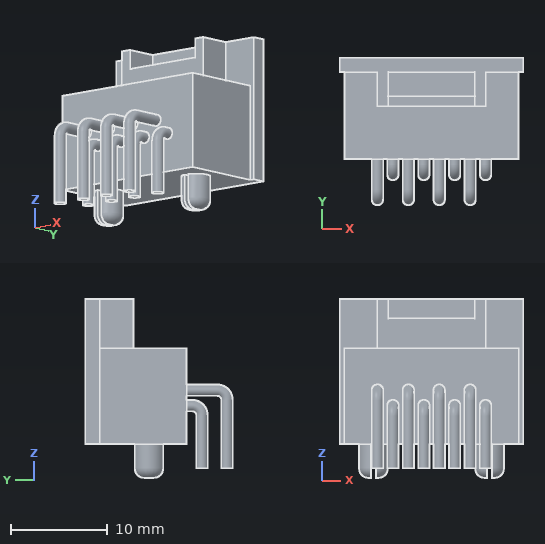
import cadquery as cq

flange_width = 19.0
flange_thickness = 1.5
flange_height = 15.01

body_width = 18.0
body_height = 9.94
body_front = -10.49

latch_wall = 1.12
latch_width = 11.21
latch_front = -5.02
latch_front_wall = 1.05
notch_depth = 2.01
opening_width = latch_width - 2 * latch_wall
opening_front = latch_front + latch_front_wall

shell_wall = 0.5
cavity_width = body_width - 2 * shell_wall
cavity_top = body_height - shell_wall

peg_diameter = 3.0
peg_length = 3.5
peg_round = 0.99
peg_slot = 0.5
peg_x = 6.0
peg_y = -6.6

pin_diameter = 1.2
pin_bend_radius = 1.0
pin_bottom = -2.5
pin_embed = 1.0
pin_pitch = 1.6
pin_count = 8
pin_front = -15.25
long_pin_y = pin_front + pin_diameter / 2
long_pin_z = 5.59
row_spacing_y = 2.58
row_spacing_z = 1.6


def block(width, rear, front, bottom, top):
    """Box centred on X, spanning front..rear in Y and bottom..top in Z."""
    size = (width, rear - front, top - bottom)
    return cq.Workplane("XY").box(*size, centered=(True, False, False)).translate((0, front, bottom))


def make_housing():
    housing = block(flange_width, 0, -flange_thickness, 0, flange_height)
    housing = housing.union(block(body_width, -flange_thickness, body_front, 0, body_height))
    housing = housing.union(block(latch_width, -flange_thickness, latch_front, body_height, flange_height))

    cavity = block(cavity_width, 0, opening_front, shell_wall, cavity_top)
    well = block(opening_width, -flange_thickness, opening_front, cavity_top, flange_height)
    notch_bottom = flange_height - notch_depth
    window = block(opening_width, 0, -flange_thickness, cavity_top, notch_bottom)
    notch = block(opening_width, opening_front, latch_front, notch_bottom, flange_height)
    return housing.cut(cavity).cut(well).cut(window).cut(notch)


def make_peg(x):
    peg = cq.Workplane("XY").circle(peg_diameter / 2).extrude(-peg_length)
    peg = peg.faces("<Z").edges().fillet(peg_round)
    slot = block(peg_slot, peg_diameter, -peg_diameter, -peg_length, 0)
    return peg.cut(slot).translate((x, peg_y, 0))


def make_pin(x, y, z):
    """Pin leaving the housing at height z and turning down at depth y."""
    path = (
        cq.Workplane("YZ", origin=(x, 0, 0))
        .moveTo(body_front + pin_embed, z)
        .lineTo(y + pin_bend_radius, z)
        .radiusArc((y, z - pin_bend_radius), -pin_bend_radius)
        .lineTo(y, pin_bottom)
    )
    start = (x, body_front + pin_embed, z)
    return cq.Workplane("XZ", origin=start).circle(pin_diameter / 2).sweep(path)


result = make_housing()

for side in (-1, 1):
    result = result.union(make_peg(side * peg_x))

for index in range(pin_count):
    row = index % 2
    pin_x = (index - (pin_count - 1) / 2) * pin_pitch
    pin = make_pin(pin_x, long_pin_y + row * row_spacing_y, long_pin_z - row * row_spacing_z)
    result = result.union(pin)